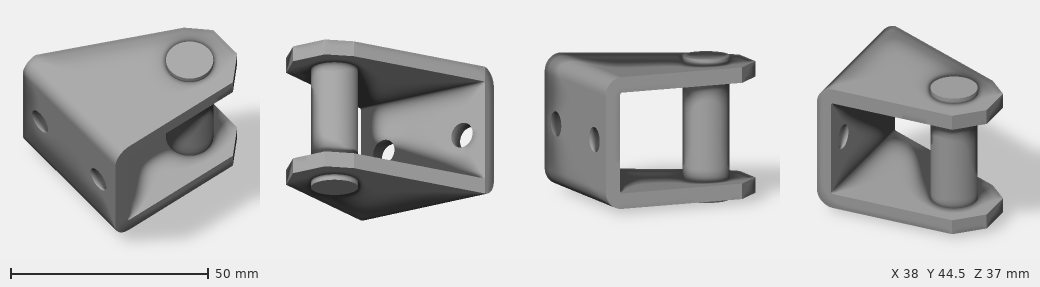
import cadquery as cq

width = 38.0
depth = 44.5
height = 34.0
thickness = 4.0
inner_bend_radius = 0.5
outer_bend_radius = inner_bend_radius + thickness

taper_start_y = thickness
taper_end_x = 16.4
taper_end_y = 39.15
tip_left_x = 21.65
right_chamfer = 6.6

pin_diameter = 12.0
pin_length = 37.0
pin_x = 26.48
pin_y = 33.0

hole_diameter = 6.5
hole_xs = (7.08, 30.95)


def make_channel():
    """U-shaped channel, open toward +Y, with rounded bends."""
    outer = (
        cq.Workplane("XY")
        .box(width, depth, height, centered=(False, False, True))
        .edges("|X and <Y")
        .fillet(outer_bend_radius)
    )
    inner = (
        cq.Workplane("XY")
        .box(width, depth, height - 2 * thickness, centered=(False, False, True))
        .edges("|X and <Y")
        .fillet(inner_bend_radius)
        .translate((0, thickness, 0))
    )
    return outer.cut(inner)


def make_outline_prism():
    """Plan outline of the bracket, extruded over its full height."""
    points = [
        (0, 0),
        (width, 0),
        (width, depth - right_chamfer),
        (width - right_chamfer, depth),
        (tip_left_x, depth),
        (taper_end_x, taper_end_y),
        (0, taper_start_y),
    ]
    return cq.Workplane("XY").polyline(points).close().extrude(height / 2, both=True)


def make_mounting_holes():
    """Cylinders that pass through the web along Y."""
    return (
        cq.Workplane("XZ")
        .pushPoints([(x, 0) for x in hole_xs])
        .circle(hole_diameter / 2)
        .extrude(-outer_bend_radius)
    )


def make_pin():
    """Pin along Z, standing out equally past both ears."""
    return (
        cq.Workplane("XY")
        .center(pin_x, pin_y)
        .circle(pin_diameter / 2)
        .extrude(pin_length / 2, both=True)
    )


bracket = make_channel().intersect(make_outline_prism()).cut(make_mounting_holes())
result = bracket.union(make_pin())